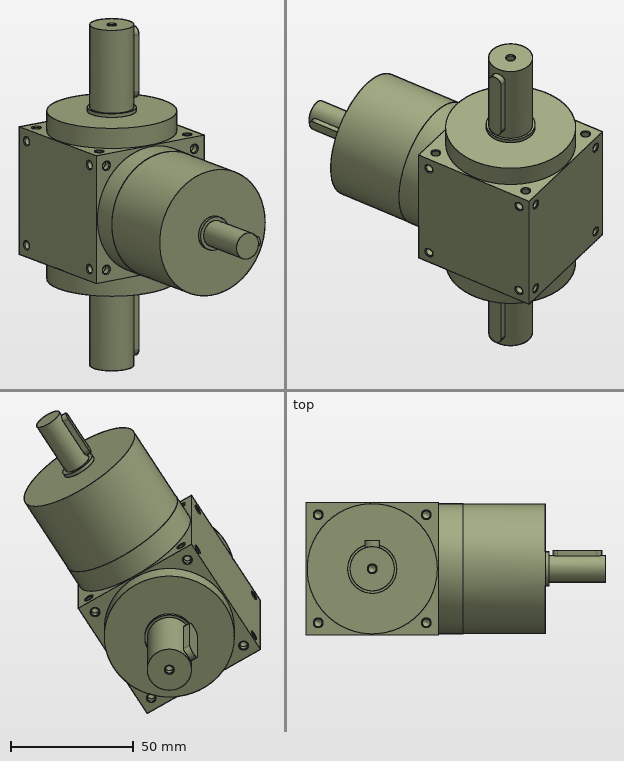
import cadquery as cq
import math


CUBE_SIDE = 54.0
FLANGE_DIAMETER = 53.0
FLANGE_HEIGHT = 8.5
INPUT_FLANGE_LENGTH = 10.0

BARREL_DIAMETER = 52.8
BARREL_LENGTH = 33.5

OUTPUT_COLLAR_DIAMETER = 20.0
OUTPUT_COLLAR_HEIGHT = 1.5
OUTPUT_DIAMETER = 18.0
OUTPUT_LENGTH = 35.0

INPUT_COLLAR_DIAMETER = 14.0
INPUT_COLLAR_LENGTH = 1.5
INPUT_DIAMETER = 11.0
INPUT_LENGTH = 23.0

OUTPUT_KEY_WIDTH = 6.0
OUTPUT_KEY_HEIGHT = 6.0
OUTPUT_KEY_LENGTH = 30.0
OUTPUT_KEY_TOP = 11.5
INPUT_KEY_WIDTH = 4.0
INPUT_KEY_HEIGHT = 4.0
INPUT_KEY_LENGTH = 20.0
INPUT_KEY_TOP = 7.5

HOLE_SPACING = 44.0
HOLE_CORE_DIAMETER = 3.24
HOLE_MOUTH_DIAMETER = 4.0
HOLE_DEPTH = 3.0
COUNTERSINK_ANGLE = 90.0
DRILL_POINT_ANGLE = 120.0

CUBE_HALF = CUBE_SIDE / 2
FLANGE_FACE = CUBE_HALF + FLANGE_HEIGHT
OUTPUT_SHOULDER = FLANGE_FACE + OUTPUT_COLLAR_HEIGHT
OUTPUT_END = OUTPUT_SHOULDER + OUTPUT_LENGTH
BARREL_START = CUBE_HALF + INPUT_FLANGE_LENGTH
BARREL_FACE = BARREL_START + BARREL_LENGTH
INPUT_SHOULDER = BARREL_FACE + INPUT_COLLAR_LENGTH
INPUT_END = INPUT_SHOULDER + INPUT_LENGTH
OUTPUT_KEY_MIDDLE = OUTPUT_SHOULDER + OUTPUT_LENGTH / 2
INPUT_KEY_MIDDLE = INPUT_SHOULDER + INPUT_LENGTH / 2

UP = (0, 0, 1)
DOWN = (0, 0, -1)
FACE_NORMALS = [UP, DOWN, (1, 0, 0), (-1, 0, 0), (0, 1, 0), (0, -1, 0)]

OUTPUT_KEY_PLANE = cq.Plane(origin=(0, 0, 0), xDir=(0, 0, 1), normal=(0, 1, 0))
INPUT_KEY_PLANE = cq.Plane(origin=(0, 0, 0), xDir=(1, 0, 0), normal=(0, 1, 0))


def cylinder_between(plane, diameter, start, end):
    """A cylinder on the plane's normal, from one distance along it to another."""
    return cq.Workplane(plane).workplane(offset=start).circle(diameter / 2).extrude(end - start)


def make_key(plane, width, length, height, middle, top):
    """A round-ended key lying along the plane's local X, with its top at the given height."""
    return (
        cq.Workplane(plane)
        .workplane(offset=top - height)
        .center(middle, 0)
        .slot2D(length, width)
        .extrude(height)
    )


def make_hole_tool():
    """A countersunk hole that goes down from Z = 0 and ends in a drill point."""
    core = HOLE_CORE_DIAMETER / 2
    mouth = HOLE_MOUTH_DIAMETER / 2
    sink_depth = (mouth - core) / math.tan(math.radians(COUNTERSINK_ANGLE / 2))
    point_depth = HOLE_DEPTH + core / math.tan(math.radians(DRILL_POINT_ANGLE / 2))
    profile = [(0, 0), (mouth, 0), (core, -sink_depth), (core, -HOLE_DEPTH), (0, -point_depth)]
    return cq.Workplane("XZ").polyline(profile).close().revolve(360, (0, 0, 0), (0, 1, 0))


def drill_at(body, normal, distance, points):
    """Cut holes into the flat face that lies at this distance from the origin along the normal."""
    tool = make_hole_tool().val()
    face = cq.Plane(origin=cq.Vector(*normal) * distance, normal=normal)
    for u, v in points:
        location = cq.Location(face) * cq.Location(cq.Vector(u, v, 0))
        body = body.cut(cq.Workplane(tool.moved(location)))
    return body


def make_output_shaft():
    """The double-ended shaft along Z: thicker in the housing, with a key and a centre hole at each end."""
    shaft = cylinder_between("XY", OUTPUT_COLLAR_DIAMETER, -OUTPUT_SHOULDER, OUTPUT_SHOULDER)
    shaft = shaft.union(cylinder_between("XY", OUTPUT_DIAMETER, -OUTPUT_END, OUTPUT_END))
    for middle in (OUTPUT_KEY_MIDDLE, -OUTPUT_KEY_MIDDLE):
        shaft = shaft.union(
            make_key(
                OUTPUT_KEY_PLANE,
                OUTPUT_KEY_WIDTH,
                OUTPUT_KEY_LENGTH,
                OUTPUT_KEY_HEIGHT,
                middle,
                OUTPUT_KEY_TOP,
            )
        )
    for normal in (UP, DOWN):
        shaft = drill_at(shaft, normal, OUTPUT_END, [(0, 0)])
    return shaft


def make_input_shaft():
    """The single-ended shaft along X: thicker in the barrel, with a key on its free end."""
    shaft = cylinder_between("YZ", INPUT_COLLAR_DIAMETER, BARREL_START, INPUT_SHOULDER)
    shaft = shaft.union(cylinder_between("YZ", INPUT_DIAMETER, INPUT_SHOULDER, INPUT_END))
    key = make_key(
        INPUT_KEY_PLANE,
        INPUT_KEY_WIDTH,
        INPUT_KEY_LENGTH,
        INPUT_KEY_HEIGHT,
        INPUT_KEY_MIDDLE,
        INPUT_KEY_TOP,
    )
    return shaft.union(key)


def make_housing():
    """The cube with its three flanges, the output shaft bore and four holes on every face."""
    body = cq.Workplane("XY").box(CUBE_SIDE, CUBE_SIDE, CUBE_SIDE)
    body = body.union(cylinder_between("XY", FLANGE_DIAMETER, -FLANGE_FACE, FLANGE_FACE))
    body = body.union(cylinder_between("YZ", FLANGE_DIAMETER, 0, BARREL_START))
    body = body.cut(cylinder_between("XY", OUTPUT_COLLAR_DIAMETER, -FLANGE_FACE, FLANGE_FACE))
    offsets = (-HOLE_SPACING / 2, HOLE_SPACING / 2)
    corners = [(u, v) for u in offsets for v in offsets]
    for normal in FACE_NORMALS:
        body = drill_at(body, normal, CUBE_HALF, corners)
    return body


def make_barrel():
    """The input barrel, bored for the input shaft."""
    barrel = cylinder_between("YZ", BARREL_DIAMETER, BARREL_START, BARREL_FACE)
    return barrel.cut(cylinder_between("YZ", INPUT_COLLAR_DIAMETER, BARREL_START, BARREL_FACE))


housing = make_housing()
barrel = make_barrel()
output_shaft = make_output_shaft()
input_shaft = make_input_shaft()

bodies = (housing, barrel, output_shaft, input_shaft)
result = cq.Compound.makeCompound([body.solids().val() for body in bodies])